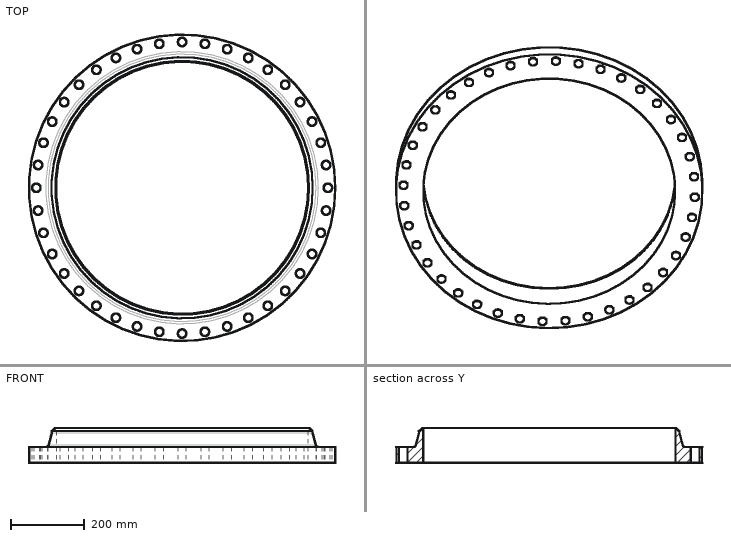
import cadquery as cq

flange_radius = 418.0
flange_thickness = 43.5
bore_radius = 344.0

overall_height = 95.0
hub_base_radius = 366.0
hub_fillet_radius = 7.0
land_radius = 356.0
land_height = 5.0
bevel_height = 9.0
root_face_width = 2.5

bolt_count = 40
bolt_circle_diameter = 795.5
bolt_hole_diameter = 23.0

bevel_start_z = overall_height - bevel_height
taper_end_z = bevel_start_z - land_height


def ring_body():
    """Flange and hub revolved about Z from one half section, with the hub root filleted."""
    section = (
        cq.Workplane("XZ")
        .moveTo(bore_radius, 0)
        .lineTo(flange_radius, 0)
        .lineTo(flange_radius, flange_thickness)
        .lineTo(hub_base_radius, flange_thickness)
        .lineTo(land_radius, taper_end_z)
        .lineTo(land_radius, bevel_start_z)
        .lineTo(bore_radius + root_face_width, overall_height)
        .lineTo(bore_radius, overall_height)
        .close()
    )
    body = section.revolve(360, (0, 0, 0), (0, 1, 0))
    hub_root = body.edges("%CIRCLE").edges(cq.selectors.RadiusNthSelector(-2))
    return hub_root.fillet(hub_fillet_radius)


def bolt_holes():
    """Through holes evenly spaced on the bolt circle, the first one on the +X axis."""
    return (
        cq.Workplane("XY")
        .polarArray(bolt_circle_diameter / 2, 0, 360, bolt_count)
        .circle(bolt_hole_diameter / 2)
        .extrude(flange_thickness)
    )


result = ring_body().cut(bolt_holes())